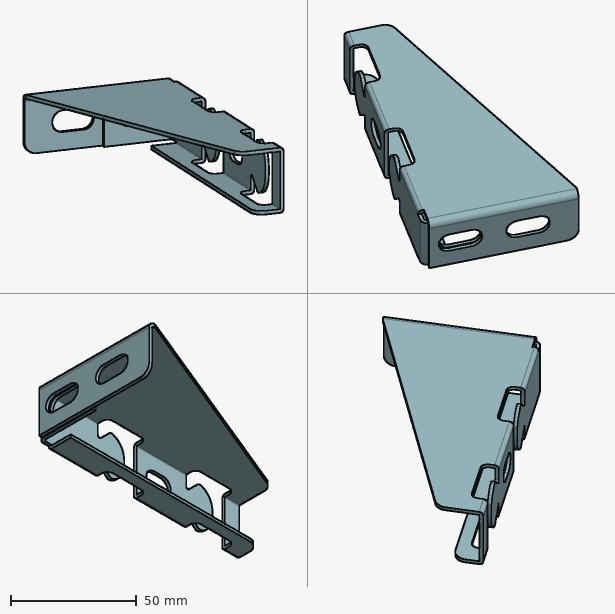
import cadquery as cq
import math


length = 114.0
depth = 64.4
height = 27.0
thickness = 1.6
tight_bend_inner = 0.2
wide_bend_inner = 1.4
tight_bend_outer = tight_bend_inner + thickness
wide_bend_outer = wide_bend_inner + thickness
half_height = height / 2

relief_x = 8.0
relief_y = 2.5
edge_setback = 1.9
wall_gap = 0.5
flange_x = thickness + wall_gap
flange_depth = 30.8

tip_depth = 18.9
heel_x = 3.2
bottom_depth = 12.4
plate_corner_radius = 5.0
wall_corner_radius = 5.0

slot_width = 9.0
slot_length = 18.0
slot_z = 0.5
first_slot_y = -15.4
slot_pitch = 28.0
flange_slot_shift = 0.5

back_slot_x = 68.4
back_slot_length = 13.7

window_starts = (34.2, 84.0)
window_length = 21.8
window_depth = 7.0
window_corner_radius = 3.0
tongue_length = 14.9
tongue_half_width = 11.0
neck_half_width = 5.4
neck_radius = 0.9
shoulder_radius = 2.0
shoulder_overrun = 21.0
side_radius = 9.2
nose_half_width = 4.7
nose_bulge = 0.6


def folded_strip(plane, leg_1, leg_2, run):
    """L-shaped strip with its outer corner at the plane origin, extruded by run."""
    return (
        cq.Workplane(plane)
        .moveTo(0, leg_2)
        .lineTo(0, wide_bend_outer)
        .radiusArc((wide_bend_outer, 0), -wide_bend_outer)
        .lineTo(leg_1, 0)
        .lineTo(leg_1, thickness)
        .lineTo(wide_bend_outer, thickness)
        .radiusArc((thickness, wide_bend_outer), wide_bend_inner)
        .lineTo(thickness, leg_2)
        .close()
        .extrude(run)
    )


def channel():
    """Back with its top and bottom plates, both still at full depth."""
    run = length - relief_x
    outer = (
        cq.Workplane("XY")
        .box(run, depth, height, centered=False)
        .translate((relief_x, -depth, -half_height))
        .edges("|X and >Y")
        .fillet(tight_bend_outer)
    )
    inner = (
        cq.Workplane("XY")
        .box(run, depth, height - 2 * thickness, centered=False)
        .translate((relief_x, -depth - thickness, thickness - half_height))
        .edges("|X and >Y")
        .fillet(tight_bend_inner)
    )
    return outer.cut(inner)


def mounting_wall():
    """Top plate folded down into the mounting wall."""
    plane = cq.Plane(origin=(0, -depth, half_height), xDir=(1, 0, 0), normal=(0, 1, 0))
    strip = folded_strip(plane, relief_x, height - edge_setback, depth - relief_y)
    return strip.edges("|X and <Y and <Z").fillet(wall_corner_radius)


def inner_flange():
    """Back folded forward into a flange behind the mounting wall."""
    run = height - 2 * edge_setback
    plane = cq.Plane(origin=(flange_x, 0, half_height - edge_setback), xDir=(1, 0, 0), normal=(0, 0, -1))
    return folded_strip(plane, window_starts[0] - flange_x, flange_depth, run)


def trimmed_plates():
    """Channel and wall, with a sloping top plate, a narrow bottom plate and rounded free corners."""
    slope_cutter = (
        cq.Workplane("XY")
        .polyline([(heel_x, -depth), (length, -depth), (length, -tip_depth)])
        .close()
        .extrude(half_height)
    )
    bottom_cutter = (
        cq.Workplane("XY")
        .rect(length - relief_x, depth - bottom_depth, centered=False)
        .extrude(-half_height)
        .translate((relief_x, -depth, 0))
    )
    plates = channel().union(mounting_wall()).cut(slope_cutter).cut(bottom_cutter)
    free_corners = plates.edges("|Z and >X").filter(lambda edge: edge.Center().y < -tight_bend_outer)
    return free_corners.fillet(plate_corner_radius)


def window(start):
    """Opening through the back and a notch in the top and bottom plates."""
    return (
        cq.Workplane("XY")
        .rect(window_length, window_depth, centered=False)
        .extrude(height)
        .translate((start, -window_depth, -half_height))
        .edges("|Z and <Y")
        .fillet(window_corner_radius)
    )


def tongue(root_x):
    """Fan-shaped tongue with a 45 degree undercut neck and a nose of three arcs."""
    diagonal = math.sqrt(0.5)
    root_half_width = neck_half_width + neck_radius
    neck_end_x = neck_radius * (1 + diagonal)
    neck_end_z = root_half_width - neck_radius * diagonal
    flank_end_z = tongue_half_width - shoulder_radius * (1 - diagonal)
    flank_end_x = neck_end_x + flank_end_z - neck_end_z
    overrun = math.radians(shoulder_overrun)
    shoulder_end_x = flank_end_x + shoulder_radius * (diagonal + math.sin(overrun))
    shoulder_end_z = tongue_half_width - shoulder_radius * (1 - math.cos(overrun))
    nose_x = tongue_length - nose_bulge
    return (
        cq.Workplane("XZ", origin=(root_x, 0, 0))
        .moveTo(0, -root_half_width)
        .radiusArc((neck_end_x, -neck_end_z), neck_radius)
        .lineTo(flank_end_x, -flank_end_z)
        .radiusArc((shoulder_end_x, -shoulder_end_z), -shoulder_radius)
        .radiusArc((nose_x, -nose_half_width), -side_radius)
        .threePointArc((tongue_length, 0), (nose_x, nose_half_width))
        .radiusArc((shoulder_end_x, shoulder_end_z), -side_radius)
        .radiusArc((flank_end_x, flank_end_z), -shoulder_radius)
        .lineTo(neck_end_x, neck_end_z)
        .radiusArc((0, root_half_width), neck_radius)
        .close()
        .extrude(thickness)
    )


def wall_slot(start_x, center_y):
    """Mounting slot cutter along X, one sheet thick."""
    return (
        cq.Workplane("YZ", origin=(start_x, center_y, slot_z))
        .slot2D(slot_length, slot_width)
        .extrude(thickness)
    )


def back_slot():
    """Slot cutter through the back, between the two windows."""
    return (
        cq.Workplane("XZ", origin=(back_slot_x, 0, 0))
        .slot2D(back_slot_length, slot_width)
        .extrude(thickness)
    )


result = trimmed_plates().union(inner_flange())

result = result.cut(wall_slot(0, first_slot_y))
result = result.cut(wall_slot(0, first_slot_y - slot_pitch))
result = result.cut(wall_slot(flange_x, first_slot_y - flange_slot_shift))
result = result.cut(back_slot())

for window_start in window_starts:
    result = result.cut(window(window_start))
    result = result.union(tongue(window_start))